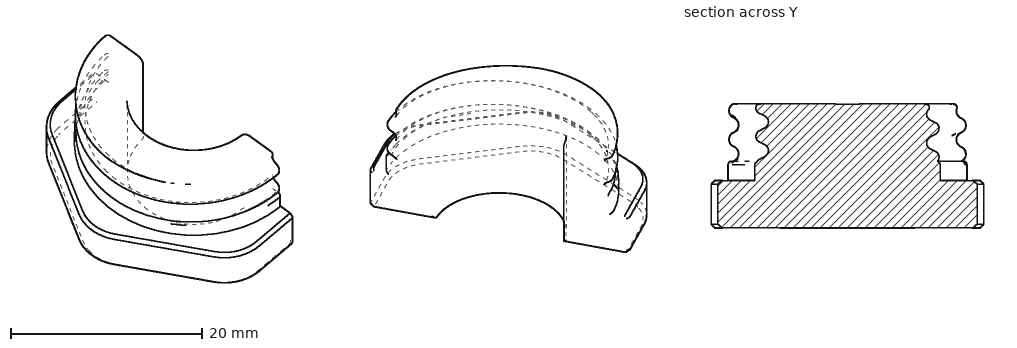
import cadquery as cq
import math

flange_sides = 6
across_flats = 28.5
flange_height = 5.0
flange_corner_radius = 5.0

total_height = 13.0
collar_radius = 12.5
collar_top = 7.0

bore_radius = 7.0
bore_lip_radius = 1.0

edge_break = 0.4

pitch = 3.0
crest_radius = 12.4
root_radius = 11.4
top_crest_drop = 0.75
thread_bottom = 6.5
profile_waves = 4

band_inner_radius = 9.0
core_radius = (band_inner_radius + root_radius) / 2


def cylinder(radius, bottom, top):
    return cq.Workplane("XY").workplane(offset=bottom).circle(radius).extrude(top - bottom)


def removed_half():
    """Block covering everything on the +Y side of the split plane."""
    reach = 2 * across_flats
    return cq.Workplane("XY").box(reach, reach, reach).translate((0, reach / 2, 0))


def make_bore():
    return cylinder(bore_radius, 0, total_height)


def make_flange():
    half_side_angle = math.pi / flange_sides
    flange = (
        cq.Workplane("XY")
        .polygon(flange_sides, across_flats / math.cos(half_side_angle))
        .extrude(flange_height)
        .rotate((0, 0, 0), (0, 0, 1), math.degrees(half_side_angle))
        .edges("|Z")
        .fillet(flange_corner_radius)
    )
    return flange.faces("<Z or >Z").chamfer(edge_break)


def make_collar():
    return cylinder(collar_radius, 0, collar_top).faces(">Z").edges().fillet(edge_break)


def make_base():
    """Half of the flange and collar, with the split-face edges rounded."""
    base = make_flange().union(make_collar()).cut(removed_half()).cut(make_bore())
    return base.faces(">Y").edges().fillet(edge_break)


def sweep_thread_band():
    """Wavy profile of tangent arcs, swept along a half turn from -X through -Y to +X."""
    pitch_radius = (crest_radius + root_radius) / 2
    quarter = pitch / 4
    bottom = total_height - top_crest_drop - quarter - (profile_waves - 1) * pitch
    top = bottom + profile_waves * pitch

    profile = cq.Workplane("XZ").moveTo(-band_inner_radius, bottom).lineTo(-pitch_radius, bottom)
    for wave in range(profile_waves):
        start = bottom + wave * pitch
        middle = start + pitch / 2
        profile = profile.threePointArc((-crest_radius, start + quarter), (-pitch_radius, middle))
        profile = profile.threePointArc((-root_radius, middle + quarter), (-pitch_radius, start + pitch))
    profile = profile.lineTo(-band_inner_radius, top).close()

    helix = cq.Wire.makeHelix(pitch, pitch / 2, pitch_radius)
    path = cq.Workplane(obj=helix).rotate((0, 0, 0), (0, 0, 1), 180)
    return profile.sweep(path, isFrenet=True)


def make_threaded_neck():
    """Half of the threaded neck, from inside the collar up to the top face."""
    trim = cylinder(2 * crest_radius, thread_bottom, total_height)
    core = cylinder(core_radius, thread_bottom, total_height).cut(removed_half())
    neck = sweep_thread_band().intersect(trim).union(core)

    neck = neck.faces(">Z").edges("%BSPLINE").fillet(edge_break)

    neck = neck.cut(make_bore())
    neck = neck.faces(">Z").edges("%CIRCLE").fillet(bore_lip_radius)

    split_edges = neck.faces(">Y").edges()
    exposed_edges = split_edges.filter(lambda edge: edge.BoundingBox().zmax > collar_top)
    return exposed_edges.fillet(edge_break)


result = make_base().union(make_threaded_neck())